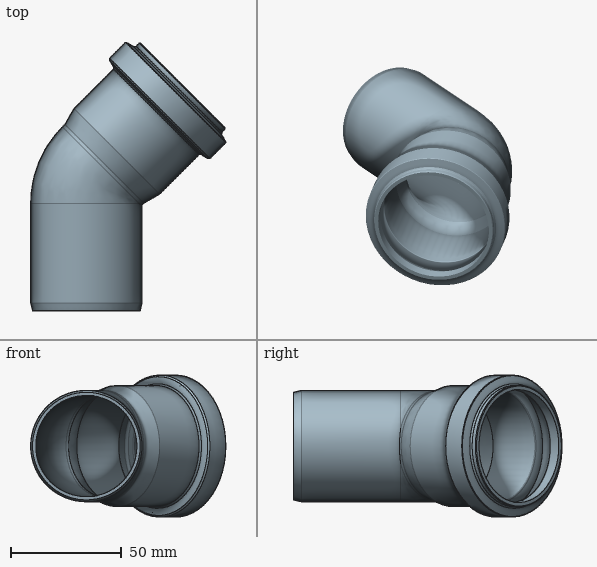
import cadquery as cq
import math

pipe_radius = 50.2 / 2
bore_radius = 45.6 / 2
spigot_length = 48.3
tip_chamfer_length = 3.5
tip_chamfer_depth = 0.8

bend_angle = 45.0
bend_radius = 23.8

socket_radius = 54.6 / 2
socket_bore_radius = 51.1 / 2
collar_radius = 64.0 / 2
collar_groove_radius = 60.3 / 2
collar_root_radius = 56.2 / 2
lip_radius = 54.8 / 2
mouth_radius = 50.8 / 2
collar_front_edge = 0.2
collar_back_edge = 0.7
lip_edge = 0.4

cone_start = 1.6
cone_end = 9.6
collar_root = 35.5
collar_back = 36.2
collar_front = 47.3
collar_face_end = 48.3
lip_start = 49.2
socket_length = 51.6
groove_start = 36.5
groove_end = 45.8
shoulder_round = 0.4
groove_round = 1.2
mouth_round = 0.6

arc_inset = 1 - math.sqrt(0.5)

bend_radians = math.radians(bend_angle)
bend_end_x = bend_radius * (1 - math.cos(bend_radians))
bend_end_y = spigot_length + bend_radius * math.sin(bend_radians)


def revolve_profile(points):
    """Turn (radius, station) points around the Y axis."""
    return cq.Workplane("XY").polyline(points).close().revolve(360, (0, 0, 0), (0, 1, 0))


def elbow(radius):
    """Bent round bar, its section trimmed where it would cross the bend axis."""
    inner_x = min(radius, bend_radius)
    inner_z = math.sqrt(radius ** 2 - inner_x ** 2)
    section = cq.Workplane("XZ", origin=(0, spigot_length, 0))
    if inner_z > 0:
        section = (
            section.moveTo(inner_x, inner_z)
            .threePointArc((-radius, 0), (inner_x, -inner_z))
            .close()
        )
    else:
        section = section.circle(radius)
    return (
        section
        .revolve(bend_angle, (bend_radius, 0, 0), (bend_radius, -1, 0))
    )


def place_socket(body):
    """Move a body from the Y axis to the angled socket axis."""
    return body.rotate((0, 0, 0), (0, 0, 1), -bend_angle).translate((bend_end_x, bend_end_y, 0))


def spigot_outside():
    return revolve_profile([
        (0, 0),
        (pipe_radius - tip_chamfer_depth, 0),
        (pipe_radius, tip_chamfer_length),
        (pipe_radius, spigot_length),
        (0, spigot_length),
    ])


def spigot_bore():
    return cq.Workplane("XZ").circle(bore_radius).extrude(-spigot_length)


def socket_outside():
    return revolve_profile([
        (0, 0),
        (pipe_radius, 0),
        (pipe_radius, cone_start),
        (socket_radius, cone_end),
        (socket_radius, collar_root - (collar_root_radius - socket_radius)),
        (collar_root_radius, collar_root),
        (collar_radius - collar_back_edge, collar_back),
        (collar_radius, collar_back + collar_back_edge),
        (collar_radius, collar_front - collar_front_edge),
        (collar_radius - collar_front_edge, collar_front),
        (collar_root_radius, collar_face_end),
        (lip_radius, lip_start),
        (lip_radius, socket_length - lip_edge),
        (lip_radius - lip_edge, socket_length),
        (0, socket_length),
    ])


def socket_bore():
    """Cavity with the seal groove inside the collar."""
    profile = (
        cq.Workplane("XY")
        .lineTo(bore_radius, 0)
        .lineTo(bore_radius, cone_start)
        .lineTo(socket_bore_radius, cone_end)
        .lineTo(socket_bore_radius, groove_start - shoulder_round)
        .threePointArc(
            (socket_bore_radius + shoulder_round * arc_inset, groove_start - shoulder_round * arc_inset),
            (socket_bore_radius + shoulder_round, groove_start),
        )
        .lineTo(collar_groove_radius, groove_start)
        .lineTo(collar_groove_radius, groove_end - groove_round)
        .tangentArcPoint((collar_groove_radius - groove_round, groove_end), relative=False)
        .lineTo(mouth_radius + mouth_round, groove_end)
        .threePointArc(
            (mouth_radius + mouth_round * arc_inset, groove_end + mouth_round * arc_inset),
            (mouth_radius, groove_end + mouth_round),
        )
        .lineTo(mouth_radius, socket_length)
        .lineTo(0, socket_length)
        .close()
    )
    return profile.revolve(360, (0, 0, 0), (0, 1, 0))


outside = spigot_outside().union(elbow(pipe_radius)).union(place_socket(socket_outside()))
cavity = spigot_bore().union(elbow(bore_radius)).union(place_socket(socket_bore()))
result = outside.cut(cavity)